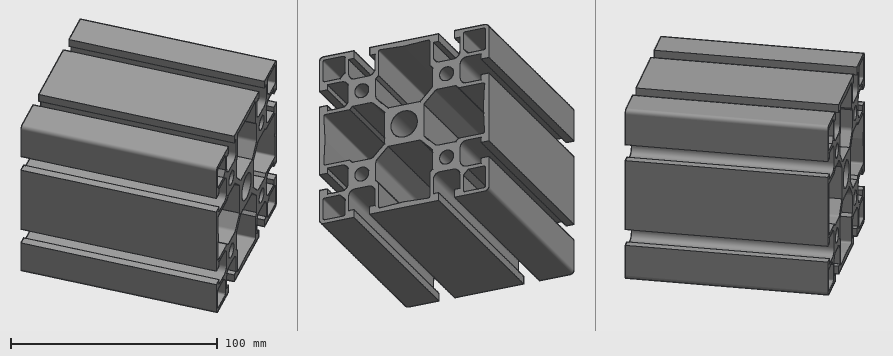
import cadquery as cq

length = 100.0
side = 90.0
half = side / 2
slot_offset = side / 4
corner_radius = 2.2

slot_opening = 8.4
slot_width = 14.0
lip_thickness = 4.2
slot_depth = 15.3
slot_floor_radius = 3.5

wall = 1.9
box_size = half - slot_offset - slot_width / 2 - 2 * wall
box_chamfer = 2.7
box_radius = 1.0

slot_bore_diameter = 7.4
center_bore_diameter = 14.0

chamber_roof = half - 2.3
chamber_ridge = 0.7
chamber_half_width = slot_offset - slot_width / 2 - wall
chamber_belly_half_width = 15.1
chamber_belly_top = 27.4
chamber_floor = 10.4
chamber_floor_half_width = 8.5
chamber_radius = 1.0
chamber_bend_radius = 2.5
edge_search_margin = 0.1


def cutter(outline):
    """Extrude a closed outline in the YZ plane along the full length."""
    return outline.extrude(length)


def section():
    """Start an outline on the end face of the profile."""
    return cq.Workplane("YZ")


def t_slot(center):
    """T-slot opening upward, at a given Y from the mid-plane."""
    lip_middle = half - lip_thickness / 2
    opening = cutter(section().center(center, lip_middle).rect(slot_opening, lip_thickness))
    cavity_height = slot_depth - lip_thickness
    cavity_middle = half - lip_thickness - cavity_height / 2
    cavity = cutter(section().center(center, cavity_middle).rect(slot_width, cavity_height))
    return opening.union(cavity.edges("|X and <Z").fillet(slot_floor_radius))


def fillet_long_edges(body, height, radius):
    """Round the edges along X that lie at the given height."""
    at_height = cq.selectors.BoxSelector(
        (0, -half, height - edge_search_margin),
        (length, half, height + edge_search_margin),
    )
    return body.edges("|X").edges(at_height).fillet(radius)


def side_chamber():
    """Large hollow behind the upper face, narrowing toward the center bore."""
    belly_bottom = chamber_floor + chamber_belly_half_width - chamber_floor_half_width
    belly_step = chamber_belly_half_width - chamber_half_width
    right_side = [
        (chamber_floor_half_width, chamber_floor),
        (chamber_belly_half_width, belly_bottom),
        (chamber_belly_half_width, chamber_belly_top),
        (chamber_half_width, chamber_belly_top + belly_step),
        (chamber_half_width, chamber_roof),
    ]
    roof_ridge = [(0, chamber_roof - chamber_ridge)]
    left_side = [(-y, z) for y, z in reversed(right_side)]
    chamber = cutter(section().polyline(right_side + roof_ridge + left_side).close())
    chamber = fillet_long_edges(chamber, chamber_roof, chamber_radius)
    return fillet_long_edges(chamber, belly_bottom, chamber_bend_radius)


def corner_box():
    """Closed hollow in the +Y +Z corner, chamfered on its inner corner."""
    middle = half - wall - box_size / 2
    box = cutter(section().center(middle, middle).rect(box_size, box_size))
    box = box.edges("|X and (>Y or >Z)").fillet(box_radius)
    return box.edges("|X and <Y and <Z").chamfer(box_chamfer)


result = cutter(section().rect(side, side)).edges("|X").fillet(corner_radius)

face_cutters = [t_slot(-slot_offset), t_slot(slot_offset), side_chamber(), corner_box()]
for quarter in range(4):
    for tool in face_cutters:
        result = result.cut(tool.rotate((0, 0, 0), (1, 0, 0), 90 * quarter))

slot_bores = section().rect(2 * slot_offset, 2 * slot_offset, forConstruction=True).vertices()
result = result.cut(cutter(slot_bores.circle(slot_bore_diameter / 2)))
result = result.cut(cutter(section().circle(center_bore_diameter / 2)))